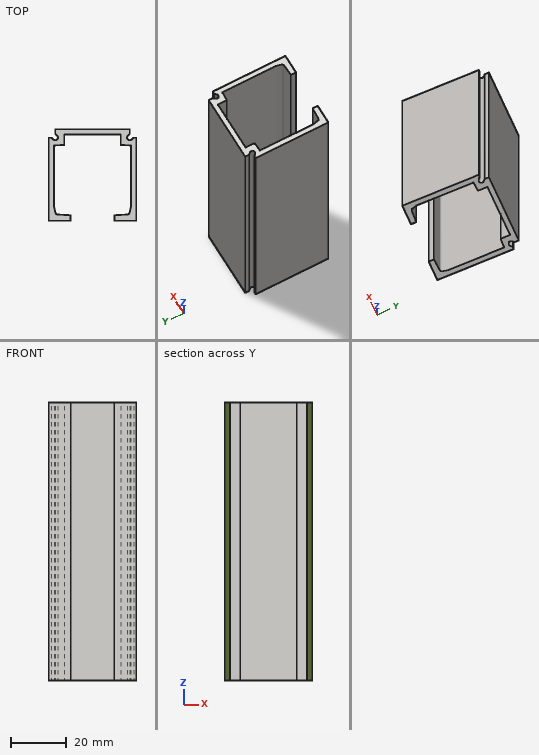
import cadquery as cq
import math

width = 31.5
depth = 33.0
length = 100.0

wall = 2.0
back_wall = 2.0
neck_wall = 2.3

opening = 15.8
lip_tip_thickness = 2.1
lip_root_thickness = 2.4
lip_root_radius = 0.8
flare_height = 5.0
flare_width = 0.6

back_width = 26.8
shoulder_drop = 3.0
groove_radius = 0.95
step_drop = 5.7
step_slope = 0.2

half_width = width / 2
half_opening = opening / 2
back = depth / 2
front = -back
wall_inner = half_width - wall
lip_root = (wall_inner - flare_width, front + lip_root_thickness)

groove_x = back_width / 2
groove_y = back - shoulder_drop
groove_mouth = groove_radius * math.sqrt(2)
groove_diagonal = groove_radius / math.sqrt(2)
neck_inner = groove_x - groove_radius - neck_wall


def build_half():
    """Extrude the right half of the channel and round the inner root of its lip."""
    half = (
        cq.Workplane("XY")
        .moveTo(0, back)
        .lineTo(groove_x, back)
        .lineTo(groove_x, groove_y + groove_mouth)
        .lineTo(groove_x - groove_diagonal, groove_y + groove_diagonal)
        .threePointArc(
            (groove_x - groove_diagonal, groove_y - groove_diagonal),
            (groove_x + groove_diagonal, groove_y - groove_diagonal),
        )
        .lineTo(groove_x + groove_mouth, groove_y)
        .lineTo(half_width, groove_y)
        .lineTo(half_width, front)
        .lineTo(half_opening, front)
        .lineTo(half_opening, front + lip_tip_thickness)
        .lineTo(*lip_root)
        .lineTo(wall_inner, front + flare_height)
        .lineTo(wall_inner, back - step_drop - step_slope)
        .lineTo(neck_inner, back - step_drop)
        .lineTo(neck_inner, back - back_wall)
        .lineTo(0, back - back_wall)
        .close()
        .extrude(length)
    )
    root_edge = cq.selectors.NearestToPointSelector((*lip_root, length / 2))
    return half.edges("|Z").edges(root_edge).fillet(lip_root_radius)


right_half = build_half()
result = right_half.union(right_half.mirror("YZ")).clean()